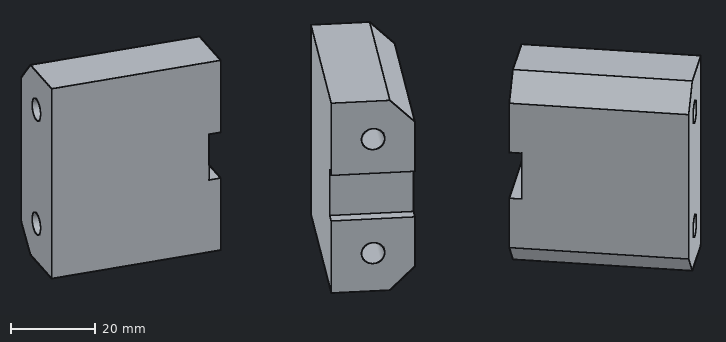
import cadquery as cq

WIDTH_X = 20.0
DEPTH_Y = 43.0
HEIGHT_Z = 50.0

BEVEL = 6.0

HOLE_DIAMETER = 5.5
HOLE_SPACING = 30.0

SLOT_HEIGHT = 12.0
SLOT_DEPTH = 3.0


def bevelled_block():
    """Rectangular block with both long edges of the -X side bevelled."""
    block = cq.Workplane("XY").box(WIDTH_X, DEPTH_Y, HEIGHT_Z)
    return block.faces("<X").edges("|Y").chamfer(BEVEL)


def bolt_holes():
    """Two cylinders, one above the other, spanning the full depth."""
    return (
        cq.Workplane("XZ")
        .pushPoints([(0, -HOLE_SPACING / 2), (0, HOLE_SPACING / 2)])
        .circle(HOLE_DIAMETER / 2)
        .extrude(DEPTH_Y / 2, both=True)
    )


def back_slot():
    """Rectangular bar that removes the slot from the middle of the +Y face."""
    slot_centre_y = (DEPTH_Y - SLOT_DEPTH) / 2
    bar = cq.Workplane("XY").box(WIDTH_X, SLOT_DEPTH, SLOT_HEIGHT)
    return bar.translate((0, slot_centre_y, 0))


result = bevelled_block().cut(bolt_holes()).cut(back_slot())